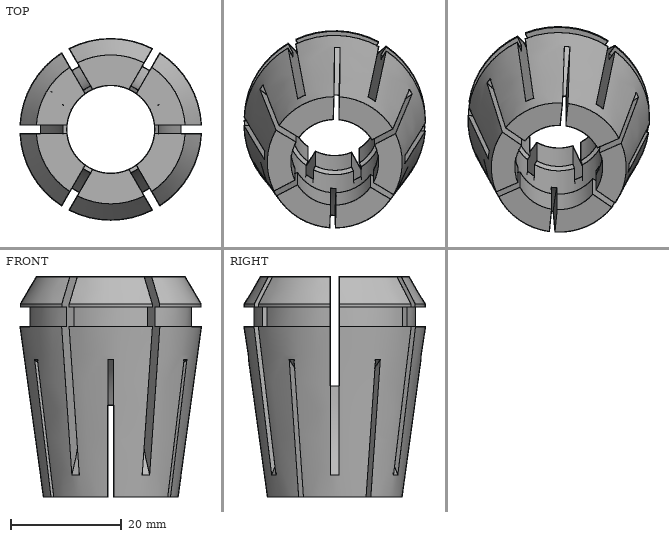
import cadquery as cq

height = 40.0
bottom_radius = 12.25
shoulder_diameter = 33.0
shoulder_radius = shoulder_diameter / 2
shoulder_z = 30.95

groove_radius = 14.7
groove_width = 3.5
rim_radius = 16.45
rim_height = 0.55
top_radius = 13.5
head_z = shoulder_z + groove_width
rim_top_z = head_z + rim_height

bore_radius = 7.95
relief_depth = 0.7
relief_radius = bore_radius + relief_depth
step_height = 0.4
lower_land_length = 10.0
upper_land_length = 12.0

slots_per_end = 6
slot_pitch = 360.0 / slots_per_end
top_slot_width = 1.55
top_slot_outer_z = 4.0
top_slot_inner_z = 20.2
top_slot_arc_radius = 36.0
bottom_slot_width = 1.0
bottom_slot_outer_z = 24.95
bottom_slot_inner_z = 16.65
bottom_slot_arc_radius = 18.8
clearance = 2.0


def taper_radius(z):
    """Outer radius of the tapered body at height z."""
    return bottom_radius + (shoulder_radius - bottom_radius) * z / shoulder_z


def make_body():
    """Turned outline: taper, groove and conical head."""
    return (
        cq.Workplane("XZ")
        .lineTo(bottom_radius, 0)
        .lineTo(shoulder_radius, shoulder_z)
        .lineTo(groove_radius, shoulder_z)
        .lineTo(groove_radius, head_z)
        .lineTo(rim_radius, head_z)
        .lineTo(rim_radius, rim_top_z)
        .lineTo(top_radius, height)
        .lineTo(0, height)
        .close()
        .revolve(360, (0, 0, 0), (0, 1, 0))
    )


def make_bore():
    """Through bore, widened between the lands with shallow conical steps."""
    return (
        cq.Workplane("XZ")
        .lineTo(bore_radius, 0)
        .lineTo(bore_radius, lower_land_length)
        .lineTo(relief_radius, lower_land_length + step_height)
        .lineTo(relief_radius, height - upper_land_length - step_height)
        .lineTo(bore_radius, height - upper_land_length)
        .lineTo(bore_radius, height)
        .lineTo(0, height)
        .close()
        .revolve(360, (0, 0, 0), (0, 1, 0))
    )


def make_slot(width, inner_z, outer_z, arc_radius, open_z):
    """Radial slot along +X, open at open_z, with a concave arc for its closed end."""
    outer_radius = taper_radius(outer_z)
    far_radius = shoulder_radius + clearance
    return (
        cq.Workplane("XZ")
        .moveTo(0, open_z)
        .lineTo(0, inner_z)
        .lineTo(relief_radius, inner_z)
        .radiusArc((outer_radius, outer_z), arc_radius)
        .lineTo(far_radius, outer_z)
        .lineTo(far_radius, open_z)
        .close()
        .extrude(width / 2, both=True)
    )


top_slot = make_slot(
    top_slot_width, top_slot_inner_z, top_slot_outer_z, -top_slot_arc_radius, height + clearance
)
bottom_slot = make_slot(
    bottom_slot_width, bottom_slot_inner_z, bottom_slot_outer_z, bottom_slot_arc_radius, -clearance
)

result = make_body().cut(make_bore())
for index in range(slots_per_end):
    angle = index * slot_pitch
    result = result.cut(top_slot.rotate((0, 0, 0), (0, 0, 1), angle))
    result = result.cut(bottom_slot.rotate((0, 0, 0), (0, 0, 1), angle + slot_pitch / 2))